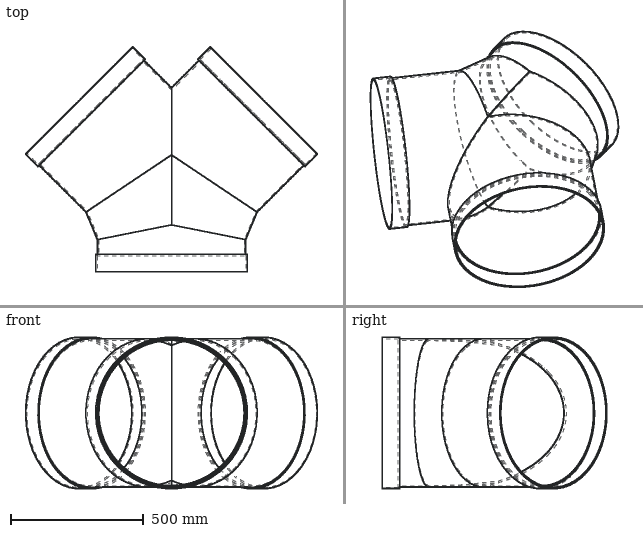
import cadquery as cq
import math

tube_diameter = 560.0
wall = 6.0
socket_diameter = tube_diameter + 2 * wall
bore_diameter = tube_diameter - 2 * wall
socket_length = 66.0
shoulder_thickness = 6.0

overall_width = 1100.0
overall_depth = 848.0
inlet_length = 177.0
branch_angle = 45.0
gore_angle = branch_angle / 2
inlet_mitre_angle = gore_angle / 2
branch_mitre_angle = (gore_angle + branch_angle) / 2

branch_sin = math.sin(math.radians(branch_angle))
branch_cos = math.cos(math.radians(branch_angle))
mouth_x = overall_width / 2 - socket_diameter / 2 * branch_cos
mouth_y = overall_depth - socket_diameter / 2 * branch_sin

gore_slope = 1 / math.tan(math.radians(gore_angle))
branch_slope = 1 / math.tan(math.radians(branch_angle))
bend_x = (mouth_y - branch_slope * mouth_x - inlet_length) / (gore_slope - branch_slope)
bend_y = inlet_length + gore_slope * bend_x
branch_length = math.hypot(mouth_x - bend_x, mouth_y - bend_y)

trim_size = 3301.0
gore_stock_reach = 770.0
mitre_allowance = 440.0


def direction(angle):
    """Horizontal unit vector at an angle from +Y toward +X."""
    return cq.Vector(math.sin(math.radians(angle)), math.cos(math.radians(angle)), 0)


def cylinder(diameter, start, angle, length):
    axis_plane = cq.Plane(origin=start, xDir=(0, 0, 1), normal=direction(angle))
    return cq.Workplane(axis_plane).circle(diameter / 2).extrude(length)


def half_space(x, y, angle):
    """Large block on the side of a vertical plane that the angle points to."""
    trim_plane = cq.Plane(origin=(x, y, 0), xDir=(0, 0, 1), normal=direction(angle))
    return cq.Workplane(trim_plane).rect(trim_size, trim_size).extrude(trim_size)


def tube(start, angle, length):
    return cylinder(tube_diameter, start, angle, length).cut(
        cylinder(bore_diameter, start, angle, length)
    )


def socketed_tube(mouth, angle, length):
    """Tube running from a socket mouth, with the wider socket at its start."""
    depth = socket_length - shoulder_thickness
    outside = cylinder(tube_diameter, mouth, angle, length).union(
        cylinder(socket_diameter, mouth, angle, socket_length)
    )
    bored = outside.cut(cylinder(bore_diameter, mouth, angle, length))
    return bored.cut(cylinder(tube_diameter, mouth, angle, depth))


def make_inlet():
    """Inlet with its socket, mitred to a ridge where the two gores sit."""
    inlet = socketed_tube((0, 0, 0), 0, inlet_length)
    for side in (-1, 1):
        above_mitre = half_space(0, inlet_length, side * inlet_mitre_angle)
        inlet = inlet.cut(above_mitre)
    return inlet


def make_gore(side):
    """Intermediate segment between the inlet and one branch."""
    angle = side * gore_angle
    start = cq.Vector(0, inlet_length, 0) - direction(angle) * mitre_allowance
    gore = tube(start, angle, mitre_allowance + gore_stock_reach)
    gore = gore.intersect(half_space(0, 0, side * 90))
    gore = gore.intersect(half_space(0, inlet_length, side * inlet_mitre_angle))
    return gore.cut(half_space(side * bend_x, bend_y, side * branch_mitre_angle))


def make_branch(side):
    """Outlet branch with its socket, trimmed at the gore and at the other branch."""
    mouth = (side * mouth_x, mouth_y, 0)
    inward_angle = side * branch_angle + 180
    branch = socketed_tube(mouth, inward_angle, branch_length + mitre_allowance)
    branch = branch.intersect(half_space(0, 0, side * 90))
    return branch.intersect(half_space(side * bend_x, bend_y, side * branch_mitre_angle))


inlet = make_inlet()
gores = [make_gore(side) for side in (-1, 1)]
branches = [make_branch(side) for side in (-1, 1)]

result = cq.Compound.makeCompound(
    [inlet.val()] + [gore.val() for gore in gores] + [branch.val() for branch in branches]
)